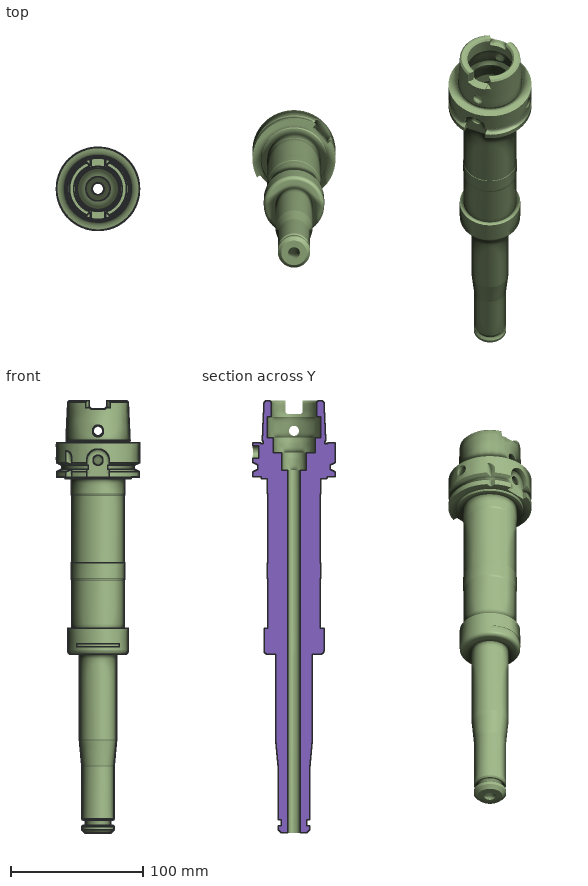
import cadquery as cq
import math

TOTAL_LENGTH = 327.5
TAPER_LENGTH = 31.8
FLANGE_HEIGHT = 26.2
FLANGE_TOP = TOTAL_LENGTH - TAPER_LENGTH
FLANGE_BOTTOM = FLANGE_TOP - FLANGE_HEIGHT

TAPER_TOP_RADIUS = 23.0
TAPER_BASE_RADIUS = 24.2
TAPER_CHAMFER = 1.3
RELIEF_RADIUS = 23.5
RELIEF_HEIGHT = 1.5
RELIEF_SHOULDER = 1.0
FACE_RELIEF_RADIUS = 25.2
FACE_RELIEF_DEPTH = 0.5

FLANGE_RADIUS = 31.5
GROOVE_RADIUS = 27.5
GROOVE_OFFSET = 18.7
GROOVE_CENTER = FLANGE_TOP - GROOVE_OFFSET
GROOVE_WIDTH = 7.0
GROOVE_FLOOR_WIDTH = 3.0
FLANGE_COLLAR_RADIUS = 25.2
FLANGE_COLLAR_HEIGHT = 1.3
FLANGE_COLLAR_CHAMFER = 0.5

BODY_RADIUS = 20.0
BAND_RADIUS = 20.3
BAND_CHAMFER_HEIGHT = 1.3
UPPER_BAND_BOTTOM = 255.8
MIDDLE_BAND_TOP = 204.7
MIDDLE_BAND_BOTTOM = 191.5

COLLAR_RADIUS = 23.0
COLLAR_TOP = 155.2
COLLAR_BOTTOM = 135.3
COLLAR_FILLET = 3.0
MARKING_BOTTOM = 141.0
MARKING_HEIGHT = 2.3
MARKING_DEPTH = 0.3

ARBOR_RADIUS = 14.0
ARBOR_TAPER_TOP = 70.7
ARBOR_TAPER_BOTTOM = 51.0
NOSE_RADIUS = 12.28
NOSE_CHAMFER = 1.0
NECK_TOP = 9.8
NECK_RADIUS = 9.8
TIP_TOP = 6.0
TIP_CHAMFER = 2.5

BORE_RADIUS = 17.0
BORE_CHAMFER = 1.3
BORE_LIP_DEPTH = 12.5
UNDERCUT_RADIUS = 20.0
UNDERCUT_FLOOR = 299.5
SEAT_RADIUS = 15.7
SEAT_FLOOR = 288.2
POCKET_RADIUS = 9.2
POCKET_FLOOR = 275.0
COOLANT_RADIUS = 4.42

SLOT_WIDTH = 13.0
SLOT_EDGE_CHAMFER = 2.5
SLOT_EDGE_START = 18.0
SLOT_EDGE_LIFT = 0.5
FRONT_SLOT_DEPTH = 6.2
BACK_SLOT_DEPTH = 10.0
SLOT_CORNER = 1.3

CLAMP_HOLE_DIAMETER = 7.5
CLAMP_HOLE_SINK_DIAMETER = 9.0
CLAMP_HOLE_LEVEL = 304.5

KEYWAY_WIDTH = 17.0
KEYWAY_FLOOR = 26.5
KEYWAY_ARCH_CENTER = 282.3
KEYWAY_HOLE_DIAMETER = 7.5
KEYWAY_HOLE_DEPTH = 3.3

CHIP_HOLE_DIAMETER = 9.0
CHIP_HOLE_LEVEL = 288.5
CHIP_HOLE_FLOOR = 27.0
NOTCH_WALL = 20.0
NOTCH_TOP = 289.5
NOTCH_RADIUS = 5.0


def outer_body():
    """Solid of revolution carrying every outer diameter of the holder."""
    half_floor = GROOVE_FLOOR_WIDTH / 2
    half_groove = GROOVE_WIDTH / 2
    collar_level = FLANGE_BOTTOM - FLANGE_COLLAR_HEIGHT
    arbor_profile = [
        (0, 0),
        (NOSE_RADIUS - TIP_CHAMFER, 0),
        (NOSE_RADIUS, TIP_CHAMFER),
        (NOSE_RADIUS, TIP_TOP - NOSE_CHAMFER),
        (NOSE_RADIUS - NOSE_CHAMFER, TIP_TOP),
        (NECK_RADIUS, TIP_TOP),
        (NECK_RADIUS, NECK_TOP),
        (NOSE_RADIUS - NOSE_CHAMFER, NECK_TOP),
        (NOSE_RADIUS, NECK_TOP + NOSE_CHAMFER),
        (NOSE_RADIUS, ARBOR_TAPER_BOTTOM),
        (ARBOR_RADIUS, ARBOR_TAPER_TOP),
        (ARBOR_RADIUS, COLLAR_BOTTOM),
        (COLLAR_RADIUS - COLLAR_FILLET, COLLAR_BOTTOM),
    ]
    fillet_inset = COLLAR_FILLET * (1 - math.sqrt(0.5))
    fillet_middle = (COLLAR_RADIUS - fillet_inset, COLLAR_BOTTOM + fillet_inset)
    fillet_end = (COLLAR_RADIUS, COLLAR_BOTTOM + COLLAR_FILLET)
    holder_profile = [
        (COLLAR_RADIUS, COLLAR_TOP),
        (BODY_RADIUS, COLLAR_TOP),
        (BODY_RADIUS, MIDDLE_BAND_BOTTOM),
        (BAND_RADIUS, MIDDLE_BAND_BOTTOM + BAND_CHAMFER_HEIGHT),
        (BAND_RADIUS, MIDDLE_BAND_TOP),
        (BODY_RADIUS, MIDDLE_BAND_TOP),
        (BODY_RADIUS, UPPER_BAND_BOTTOM),
        (BAND_RADIUS, UPPER_BAND_BOTTOM + BAND_CHAMFER_HEIGHT),
        (BAND_RADIUS, collar_level),
        (FLANGE_COLLAR_RADIUS - FLANGE_COLLAR_CHAMFER, collar_level),
        (FLANGE_COLLAR_RADIUS, collar_level + FLANGE_COLLAR_CHAMFER),
        (FLANGE_COLLAR_RADIUS, FLANGE_BOTTOM),
        (FLANGE_RADIUS, FLANGE_BOTTOM),
        (FLANGE_RADIUS, GROOVE_CENTER - half_groove),
        (GROOVE_RADIUS, GROOVE_CENTER - half_floor),
        (GROOVE_RADIUS, GROOVE_CENTER + half_floor),
        (FLANGE_RADIUS, GROOVE_CENTER + half_groove),
        (FLANGE_RADIUS, FLANGE_TOP),
        (FACE_RELIEF_RADIUS, FLANGE_TOP),
        (FACE_RELIEF_RADIUS, FLANGE_TOP - FACE_RELIEF_DEPTH),
        (RELIEF_RADIUS, FLANGE_TOP - FACE_RELIEF_DEPTH),
        (RELIEF_RADIUS, FLANGE_TOP + RELIEF_HEIGHT - RELIEF_SHOULDER),
        (TAPER_BASE_RADIUS, FLANGE_TOP + RELIEF_HEIGHT),
        (TAPER_TOP_RADIUS, TOTAL_LENGTH - TAPER_CHAMFER),
        (TAPER_TOP_RADIUS - TAPER_CHAMFER, TOTAL_LENGTH),
        (0, TOTAL_LENGTH),
    ]
    return (
        cq.Workplane("XZ")
        .polyline(arbor_profile)
        .threePointArc(fillet_middle, fillet_end)
        .polyline(holder_profile, includeCurrent=True)
        .close()
        .revolve(360, (0, 0), (0, 1))
    )


def bore():
    """Stepped clamping bore with an undercut, running on into the coolant hole."""
    lip_level = TOTAL_LENGTH - BORE_LIP_DEPTH
    profile = [
        (0, 0),
        (COOLANT_RADIUS, 0),
        (COOLANT_RADIUS, POCKET_FLOOR),
        (POCKET_RADIUS, POCKET_FLOOR),
        (POCKET_RADIUS, SEAT_FLOOR),
        (SEAT_RADIUS, SEAT_FLOOR),
        (SEAT_RADIUS, UNDERCUT_FLOOR),
        (UNDERCUT_RADIUS, UNDERCUT_FLOOR),
        (UNDERCUT_RADIUS, lip_level),
        (BORE_RADIUS, lip_level),
        (BORE_RADIUS, TOTAL_LENGTH - BORE_CHAMFER),
        (BORE_RADIUS + BORE_CHAMFER, TOTAL_LENGTH),
        (0, TOTAL_LENGTH),
    ]
    return cq.Workplane("XZ").polyline(profile).close().revolve(360, (0, 0), (0, 1))


def marking_recess():
    """Shallow quarter-turn recess on the -Y side of the collar."""
    reach = COLLAR_RADIUS * 2
    sector = [(0, 0), (-reach, -reach), (reach, -reach)]
    plane = cq.Workplane("XY", origin=(0, 0, MARKING_BOTTOM))
    ring = (
        plane.circle(COLLAR_RADIUS + MARKING_DEPTH)
        .circle(COLLAR_RADIUS - MARKING_DEPTH)
        .extrude(MARKING_HEIGHT)
    )
    wedge = plane.polyline(sector).close().extrude(MARKING_HEIGHT)
    return ring.intersect(wedge)


def drive_slot(depth):
    """Drive slot on -Y whose upright edges are bevelled where it leaves the taper wall."""
    half = SLOT_WIDTH / 2
    flared_half = half + SLOT_EDGE_CHAMFER
    flare_end = SLOT_EDGE_START + SLOT_EDGE_CHAMFER
    slot = (
        cq.Workplane("XY", origin=(0, -FLANGE_RADIUS / 2, TOTAL_LENGTH - depth))
        .box(SLOT_WIDTH, FLANGE_RADIUS, depth, centered=(True, True, False))
        .edges("|Y and <Z")
        .chamfer(SLOT_CORNER)
    )
    flare_outline = [
        (-half, -SLOT_EDGE_START),
        (-flared_half, -flare_end),
        (-flared_half, -FLANGE_RADIUS),
        (flared_half, -FLANGE_RADIUS),
        (flared_half, -flare_end),
        (half, -SLOT_EDGE_START),
    ]
    flare = (
        cq.Workplane("XY", origin=(0, 0, TOTAL_LENGTH - depth + SLOT_EDGE_LIFT))
        .polyline(flare_outline)
        .close()
        .extrude(depth - SLOT_EDGE_LIFT)
    )
    return slot.union(flare)


def clamp_hole():
    """Hole crossing both taper walls along Y, countersunk on the outside."""
    sink = (CLAMP_HOLE_SINK_DIAMETER - CLAMP_HOLE_DIAMETER) / 2
    distance_from_top = TOTAL_LENGTH - CLAMP_HOLE_LEVEL
    taper_slope = (TAPER_BASE_RADIUS - TAPER_TOP_RADIUS) / TAPER_LENGTH
    wall_radius = TAPER_TOP_RADIUS + taper_slope * distance_from_top
    hole_radius = CLAMP_HOLE_DIAMETER / 2
    sink_radius = CLAMP_HOLE_SINK_DIAMETER / 2
    half_profile = [
        (0, 0),
        (hole_radius, 0),
        (hole_radius, -(wall_radius - sink)),
        (sink_radius, -wall_radius),
        (sink_radius, -FLANGE_RADIUS),
        (0, -FLANGE_RADIUS),
    ]
    half = (
        cq.Workplane("XY", origin=(0, 0, CLAMP_HOLE_LEVEL))
        .polyline(half_profile)
        .close()
        .revolve(360, (0, 0), (0, 1))
    )
    return half.union(turned_about(half))


def keyway():
    """Arched keyway on -Y with a blind hole in its floor."""
    depth = FLANGE_RADIUS - KEYWAY_FLOOR
    plane_origin = (0, -KEYWAY_FLOOR, 0)
    half = KEYWAY_WIDTH / 2
    arch = (
        cq.Workplane("XZ", origin=plane_origin)
        .moveTo(-half, FLANGE_BOTTOM)
        .lineTo(-half, KEYWAY_ARCH_CENTER)
        .threePointArc((0, KEYWAY_ARCH_CENTER + half), (half, KEYWAY_ARCH_CENTER))
        .lineTo(half, FLANGE_BOTTOM)
        .close()
        .extrude(depth)
    )
    hole = (
        cq.Workplane("XZ", origin=plane_origin)
        .center(0, KEYWAY_ARCH_CENTER)
        .circle(KEYWAY_HOLE_DIAMETER / 2)
        .extrude(-KEYWAY_HOLE_DEPTH)
    )
    return arch.union(hole)


def chip_hole():
    """Flat-bottomed blind hole in the -X side of the flange."""
    return (
        cq.Workplane("YZ", origin=(-CHIP_HOLE_FLOOR, 0, CHIP_HOLE_LEVEL))
        .circle(CHIP_HOLE_DIAMETER / 2)
        .extrude(CHIP_HOLE_FLOOR - FLANGE_RADIUS)
    )


def orientation_notch():
    """Square notch through the lower flange, with a rounded upper inner corner."""
    size = FLANGE_RADIUS - NOTCH_WALL
    height = NOTCH_TOP - FLANGE_BOTTOM
    center = -NOTCH_WALL - size / 2
    return (
        cq.Workplane("XY", origin=(center, center, FLANGE_BOTTOM))
        .box(size, size, height, centered=(True, True, False))
        .edges("|Y and >X and >Z")
        .fillet(NOTCH_RADIUS)
    )


def turned_about(shape):
    """The same shape on the opposite side of the axis."""
    return shape.rotate((0, 0, 0), (0, 0, 1), 180)


result = (
    outer_body()
    .cut(bore())
    .cut(marking_recess())
    .cut(drive_slot(FRONT_SLOT_DEPTH))
    .cut(turned_about(drive_slot(BACK_SLOT_DEPTH)))
    .cut(clamp_hole())
    .cut(keyway())
    .cut(turned_about(keyway()))
    .cut(chip_hole())
    .cut(orientation_notch())
)